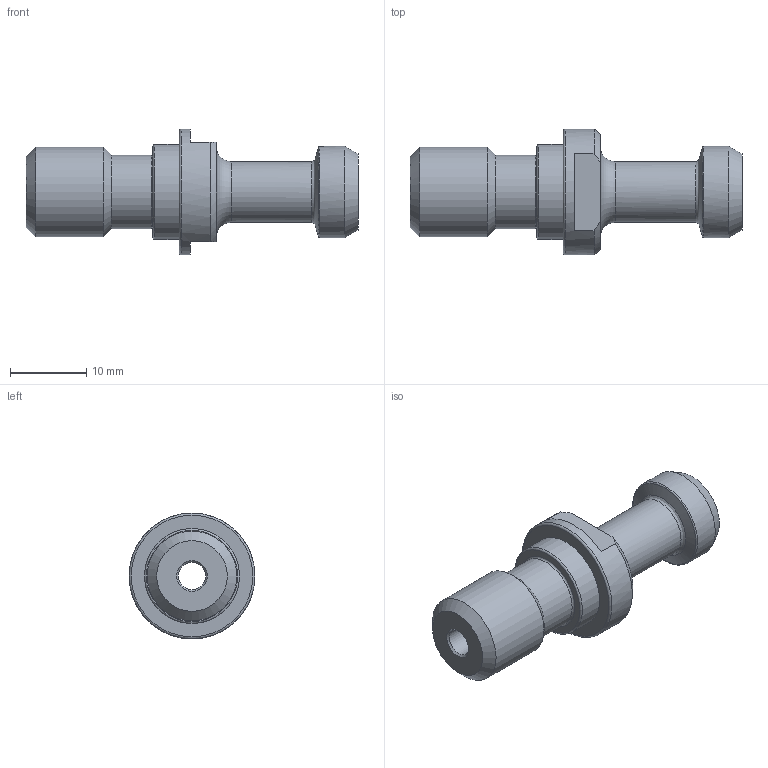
import cadquery as cq
import math

thread_diameter = 11.76
neck_diameter = 9.65
pilot_diameter = 12.45
flange_diameter = 16.48
shank_diameter = 7.95
head_diameter = 11.94
bore_diameter = 3.56

neck_start = 11.17
pilot_start = 16.63
flange_start = 20.05
flat_start = 21.5
flange_end = 24.9
head_start = 38.32
total_length = 43.48

thread_chamfer = 1.25
neck_fillet = 0.25
pilot_round = 0.25
flange_round = 0.28
flange_chamfer_length = 0.8
flange_chamfer_depth = 0.67
shank_fillet = 2.0
head_cone_angle = 15.0
head_fillet = 0.5
head_round = 0.2
head_chamfer_length = 1.73
head_chamfer_depth = 0.98
bore_chamfer = 0.25

flats_width = 13.0

thread_radius = thread_diameter / 2
neck_radius = neck_diameter / 2
pilot_radius = pilot_diameter / 2
flange_radius = flange_diameter / 2
shank_radius = shank_diameter / 2
head_radius = head_diameter / 2
bore_radius = bore_diameter / 2

thread_end = neck_start - (thread_radius - neck_radius)
head_cone_base = head_start - (head_radius - shank_radius) * math.tan(math.radians(head_cone_angle))


def turn(outline):
    """Revolve a closed half outline of (X, radius) points a full turn about the X axis."""
    full_turn = 360
    return cq.Workplane("XY").polyline(outline).close().revolve(full_turn, (0, 0, 0), (1, 0, 0))


def make_turned_body():
    """Turn the whole stud with its round edges still sharp."""
    outline = [
        (0, 0),
        (0, thread_radius - thread_chamfer),
        (thread_chamfer, thread_radius),
        (thread_end, thread_radius),
        (neck_start, neck_radius),
        (pilot_start, neck_radius),
        (pilot_start, pilot_radius),
        (flange_start, pilot_radius),
        (flange_start, flange_radius),
        (flange_end - flange_chamfer_length, flange_radius),
        (flange_end, flange_radius - flange_chamfer_depth),
        (flange_end, shank_radius),
        (head_cone_base, shank_radius),
        (head_start, head_radius),
        (total_length - head_chamfer_length, head_radius),
        (total_length, head_radius - head_chamfer_depth),
        (total_length, 0),
    ]
    return turn(outline)


def centered_box(station, half_length, half_width):
    """Select edges lying wholly inside a box centered on the axis at a station."""
    return cq.selectors.BoxSelector(
        (station - half_length, -half_width, -half_width),
        (station + half_length, half_width, half_width),
        boundingbox=True,
    )


def round_edge(body, station, edge_radius, fillet_radius):
    """Fillet the circular edge of the given radius at an axial station."""
    margin = 0.01
    up_to_edge = centered_box(station, margin, edge_radius + margin)
    short_of_edge = centered_box(station, margin, edge_radius - margin)
    return body.edges(up_to_edge - short_of_edge).fillet(fillet_radius)


def cut_wrench_flats(body):
    """Cut two parallel flats into the shank side of the flange."""
    length = flange_end - flat_start
    depth = flange_radius - flats_width / 2
    for side in (1, -1):
        cutter = cq.Workplane("XY").box(length, flange_diameter, depth)
        center_z = side * (flats_width / 2 + depth / 2)
        body = body.cut(cutter.translate((flat_start + length / 2, 0, center_z)))
    return body


def cut_bore(body):
    """Drill the through bore and chamfer its mouth at the threaded end."""
    mouth_radius = bore_radius + bore_chamfer
    outline = [
        (0, 0),
        (0, mouth_radius),
        (bore_chamfer, bore_radius),
        (total_length, bore_radius),
        (total_length, 0),
    ]
    bore = turn(outline)
    return body.cut(bore)


result = make_turned_body()
result = round_edge(result, pilot_start, neck_radius, neck_fillet)
result = round_edge(result, pilot_start, pilot_radius, pilot_round)
result = round_edge(result, flange_start, flange_radius, flange_round)
result = round_edge(result, flange_end, shank_radius, shank_fillet)
result = round_edge(result, head_cone_base, shank_radius, head_fillet)
result = round_edge(result, head_start, head_radius, head_round)
result = cut_wrench_flats(result)
result = cut_bore(result)